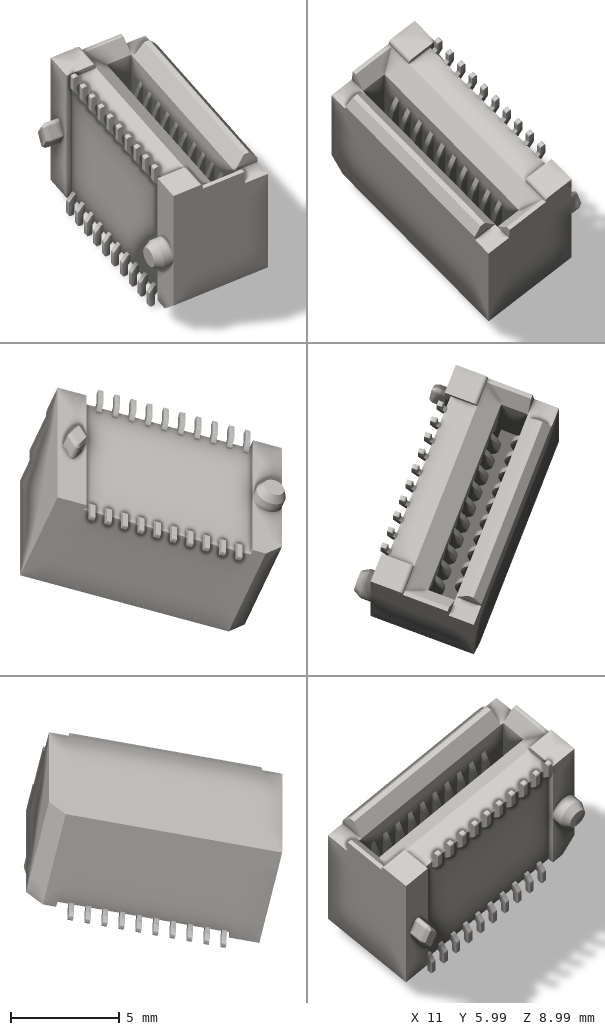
import cadquery as cq
import math

length = 11.0
depth = 5.09
wall_top = 7.37
flange_top = 7.66
half_length = length / 2
mid_height = wall_top / 2

flange_width = 1.42
flange_depth = 1.57
flange_base_depth = 1.6
flange_round = 0.18
front_recess = 0.29
corner_cut = 0.79

shelf_height = 6.64
step_top_y = 3.8
step_base_y = 3.86
ridge_half_base = 4.55
ridge_half_top = 4.47
ridge_heel_height = 6.89
ridge_crest_front = 4.42
ridge_crest_back = 4.69

slot_half = 4.71
slot_front = 2.54
slot_back = step_base_y
slot_ledge = 0.07
slot_ledge_height = 2.2
slot_floor = 1.65
mouth_half = 5.29

contact_count = 10
row_span = 7.2
pitch = row_span / (contact_count - 1)
row_shift = pitch / 4
contact_width = 0.24
card_gap_front = 2.99
card_gap_back = 3.4
contact_top = 5.61
contact_crest = 3.96
contact_bottom = 2 * contact_crest - contact_top
contact_root = 0.11

lead_face = -0.11
lead_thickness = 0.3
lead_back = lead_face + lead_thickness
lead_reach = 0.81
lead_tip = wall_top + lead_reach
lead_tip_round = 0.1
lead_root_bottom = 6.96
lead_root_top = lead_root_bottom + lead_thickness
lead_root_end = 0.66
lead_outer_slant = (0.19, 7.33)
lead_inner_slant = (0.47, 7.56)
lead_bend_round = 0.13

peg_length = 0.9
round_peg_radius = 0.72
round_peg_tip_radius = 0.5
peg_x = half_length - round_peg_radius
round_peg_straight = 0.51
diamond_half_width = 0.46
diamond_half_height = 0.72
diamond_corner = 0.16
diamond_taper_length = 0.21
diamond_taper_inset = 0.1


def span_box(x_range, y_range, z_range):
    """Box between the given limits on each axis."""
    sizes = [high - low for low, high in (x_range, y_range, z_range)]
    corner = (x_range[0], y_range[0], z_range[0])
    return cq.Workplane("XY").box(*sizes, centered=False).translate(corner)


def side_prism(points, half_width, x_center=0):
    """Prism along X with the given (Y, Z) outline."""
    prism = cq.Workplane("YZ").polyline(points).close().extrude(half_width, both=True)
    return prism.translate((x_center, 0, 0))


def housing_body():
    outline = [
        (0, 0),
        (depth, 0),
        (depth, shelf_height),
        (step_base_y, shelf_height),
        (step_top_y, wall_top),
        (flange_base_depth, wall_top),
        (flange_depth, flange_top),
        (0, flange_top),
    ]
    body = side_prism(outline, half_length)
    flange_edge = cq.selectors.NearestToPointSelector((0, flange_depth, flange_top))
    body = body.edges(flange_edge).fillet(flange_round)
    body = body.edges("|Y and >X and <Z").chamfer(corner_cut)

    inner = half_length - flange_width
    front_cut = span_box((-inner, inner), (0, front_recess), (0, flange_top))
    top_cut = span_box((-inner, inner), (0, flange_base_depth), (wall_top, flange_top))
    return body.cut(front_cut).cut(top_cut)


def lead_in_ridge():
    outline = [
        (depth, shelf_height),
        (depth, ridge_heel_height),
        (ridge_crest_back, wall_top),
        (ridge_crest_front, wall_top),
        (step_base_y, shelf_height),
    ]
    drafted_ends = (
        cq.Workplane("XZ")
        .polyline([
            (-ridge_half_base, shelf_height),
            (ridge_half_base, shelf_height),
            (ridge_half_top, wall_top),
            (-ridge_half_top, wall_top),
        ])
        .close()
        .extrude(-depth)
    )
    return side_prism(outline, half_length).intersect(drafted_ends)


def card_slot():
    """Slot with a low rear ledge and a mouth flaring to the front and to both ends."""
    slot_ends = (-slot_half, slot_half)
    upper_slot = span_box(slot_ends, (slot_front, slot_back), (slot_ledge_height, wall_top))
    lower_slot = span_box(slot_ends, (slot_front, slot_back - slot_ledge), (slot_floor, wall_top))
    throat_depth = slot_back - slot_front
    mouth_depth = slot_back - flange_base_depth
    mouth = (
        cq.Workplane("XY", origin=(0, slot_back, shelf_height))
        .center(0, -throat_depth / 2)
        .rect(2 * slot_half, throat_depth)
        .workplane(offset=wall_top - shelf_height)
        .center(0, (throat_depth - mouth_depth) / 2)
        .rect(2 * mouth_half, mouth_depth)
        .loft(ruled=True)
    )
    return upper_slot.union(lower_slot).union(mouth)


def contact_bow(x, wall_y, crest_y):
    """Contact bowing out of a slot wall towards the card."""
    root_y = wall_y - math.copysign(contact_root, crest_y - wall_y)
    bow = (
        cq.Workplane("YZ")
        .moveTo(root_y, contact_bottom)
        .lineTo(wall_y, contact_bottom)
        .threePointArc((crest_y, contact_crest), (wall_y, contact_top))
        .lineTo(root_y, contact_top)
        .close()
        .extrude(contact_width / 2, both=True)
    )
    return bow.translate((x, 0, 0))


def upper_lead(x):
    """Solder lead that slants out of the housing front and turns upward."""
    outer_bend_y, outer_bend_z = lead_outer_slant
    inner_bend_y, inner_bend_z = lead_inner_slant
    outline = [
        (lead_face, lead_tip),
        (lead_face, outer_bend_z),
        (outer_bend_y, lead_root_bottom),
        (lead_root_end, lead_root_bottom),
        (lead_root_end, lead_root_top),
        (inner_bend_y, lead_root_top),
        (lead_back, inner_bend_z),
        (lead_back, lead_tip),
    ]
    lead = side_prism(outline, contact_width / 2, x)
    lead = lead.edges("|X and >Z").fillet(lead_tip_round)
    for bend in (outline[1], outline[2]):
        bend_edge = cq.selectors.NearestToPointSelector((x, *bend))
        lead = lead.edges(bend_edge).fillet(lead_bend_round)
    return lead


def lower_lead(x):
    """Upper lead mirrored about the mid-height of the housing."""
    return upper_lead(x).mirror("XY", (0, 0, mid_height))


def round_peg():
    peg = cq.Workplane("XZ").circle(round_peg_radius).extrude(peg_length)
    peg = peg.faces("<Y").chamfer(
        peg_length - round_peg_straight, round_peg_radius - round_peg_tip_radius
    )
    return peg.translate((peg_x, 0, mid_height))


def diamond_peg():
    """Rhombic peg with rounded corners and a tapered tip."""
    core_half_width = diamond_half_width - diamond_corner
    core_half_height = diamond_half_height - diamond_corner
    core = [
        (core_half_width, 0),
        (0, core_half_height),
        (-core_half_width, 0),
        (0, -core_half_height),
    ]
    peg = cq.Workplane("XZ").polyline(core).close().offset2D(diamond_corner).extrude(peg_length)
    peg = peg.faces("<Y").chamfer(diamond_taper_length, diamond_taper_inset)
    return peg.translate((-peg_x, 0, mid_height))


result = housing_body().union(lead_in_ridge()).cut(card_slot())

for index in range(contact_count):
    x = index * pitch - row_span / 2
    upper_x = x + row_shift
    lower_x = x - row_shift
    result = result.union(upper_lead(upper_x)).union(contact_bow(upper_x, slot_front, card_gap_front))
    result = result.union(lower_lead(lower_x)).union(contact_bow(lower_x, slot_back, card_gap_back))

result = result.union(round_peg()).union(diamond_peg())